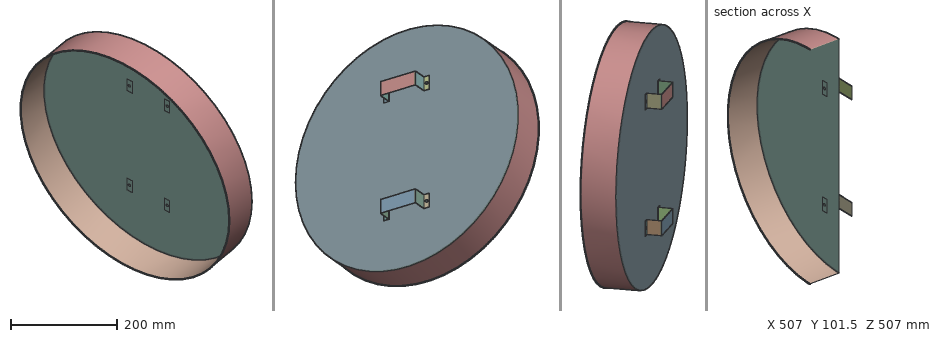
import cadquery as cq

overall_depth = 101.5
sheet = 1.5

ring_outer_diameter = 507.0
ring_inner_diameter = 503.0
ring_thickness = 1.5

drum_diameter = 505.0
drum_bore_diameter = 503.0
drum_back = 71.0
drum_front_round = 0.75
drum_back_round = 1.5

bracket_width = 80.5
bracket_height = 29.5
bracket_bend = 2.0
bracket_spacing = 250.5
tab_length = 11.0
tab_hole_diameter = 5.5


def disc(diameter, front, back):
    """A round slab about the Y axis, from y = front to y = back."""
    return cq.Workplane("XZ", origin=(0, front, 0)).circle(diameter / 2).extrude(front - back)


def make_ring():
    return disc(ring_outer_diameter, 0, ring_thickness).cut(disc(ring_inner_diameter, 0, ring_thickness))


def make_drum():
    blank = disc(drum_diameter, ring_thickness, drum_back)
    rounded = blank.edges("<Y").fillet(drum_front_round).edges(">Y").fillet(drum_back_round)
    return rounded.cut(disc(drum_bore_diameter, ring_thickness, drum_back - sheet))


def make_bracket(z):
    """A hat-shaped strip with a screw hole in each tab, centred at height z."""
    bridge_depth = overall_depth - drum_back
    tab_span = bracket_width + 2 * tab_length
    hole_spacing = bracket_width + tab_length

    def block(width, depth):
        return cq.Workplane("XY").box(width, depth, bracket_height, centered=(True, False, True))

    bridge = block(bracket_width, bridge_depth).edges("|Z and >Y").fillet(bracket_bend)
    hollow = block(bracket_width - 2 * sheet, bridge_depth - sheet)
    holes = (
        cq.Workplane("XZ")
        .rarray(hole_spacing, 5, 2, 1)
        .circle(tab_hole_diameter / 2)
        .extrude(-sheet)
    )
    bracket = block(tab_span, sheet).union(bridge).cut(hollow).cut(holes)
    return bracket.translate((0, drum_back, z))


ring = make_ring()
drum = make_drum()
brackets = [make_bracket(side * bracket_spacing / 2) for side in (-1, 1)]

result = cq.Compound.makeCompound([ring.val(), drum.val(), *[bracket.val() for bracket in brackets]])